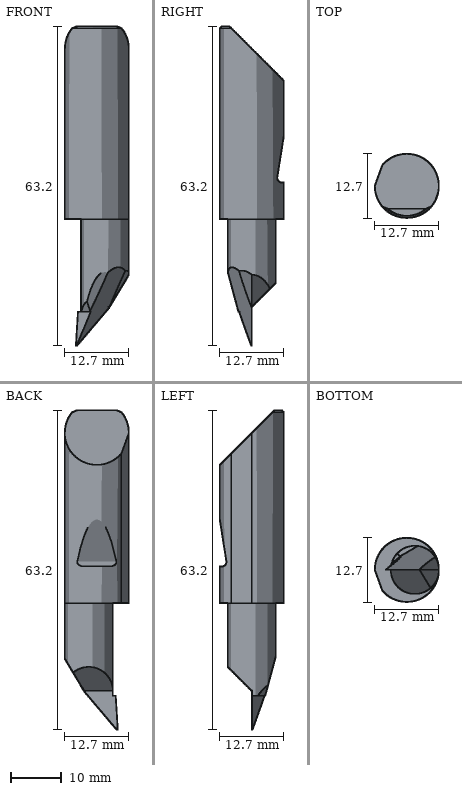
import cadquery as cq
import math

total_length = 63.15
shank_diameter = 12.7
neck_diameter = 9.525
shoulder_z = 25.0
shank_radius = shank_diameter / 2
neck_radius = neck_diameter / 2
neck_center_x = shank_radius - neck_radius

end_land_y = -4.48
end_chamfer = 0.45

side_flat_angle = 20.0

notch_bottom_z = 32.25
notch_top_z = 41.5
notch_slope = 9.0
notch_corner_radius = 0.9

runout_z = 7.65

blade_top_z = 6.75
flank_edge_angle = 3.5
flank_relief_angle = 45.0
cutting_edge_angle = 40.3
tip_left_x = -4.16
tip_right_x = -3.9

relief_middle = (2.4, -2.17)
relief_end = (4.76, -4.74)

heel_z = 7.45
heel_edge_angle = 30.9
heel_relief_angle = 22.0

front_tilt = 15.0
front_start_z = 14.53
undercut_point = (-1.24, -2.75, 6.8)
undercut_direction = 50.0
undercut_tilt = 22.5

cut_size = 2 * total_length


def sin(degrees):
    return math.sin(math.radians(degrees))


def cos(degrees):
    return math.cos(math.radians(degrees))


def tan(degrees):
    return math.tan(math.radians(degrees))


def outer_side(point, normal):
    """Large block filling the outer side of the plane through point."""
    plane = cq.Plane(origin=point, normal=normal)
    return cq.Workplane(plane).rect(cut_size, cut_size).extrude(cut_size)


def make_notch():
    depth = (notch_top_z - notch_bottom_z) * tan(notch_slope)
    floor_y = shank_radius - depth
    notch = (
        cq.Workplane("YZ")
        .moveTo(shank_radius, notch_top_z)
        .lineTo(floor_y, notch_bottom_z)
        .lineTo(shank_radius, notch_bottom_z)
        .close()
        .extrude(shank_radius, both=True)
    )
    inner_corner = cq.selectors.NearestToPointSelector((0, floor_y, notch_bottom_z))
    return notch.edges(inner_corner).fillet(notch_corner_radius)


def make_shank():
    length = total_length - shoulder_z
    shank = cq.Workplane("XY").workplane(offset=shoulder_z).circle(shank_radius).extrude(length)
    shank = shank.faces(">Z").chamfer(end_chamfer)
    end_bevel = outer_side((0, end_land_y, total_length), (0, 1, 1))
    flat_normal = (-cos(side_flat_angle), sin(side_flat_angle), 0)
    side_flat = outer_side((-shank_radius, 0, 0), flat_normal)
    return shank.cut(end_bevel).cut(side_flat).cut(make_notch())


def make_neck():
    neck = (
        cq.Workplane("XY")
        .workplane(offset=blade_top_z)
        .center(neck_center_x, 0)
        .circle(neck_radius)
        .extrude(shoulder_z - blade_top_z)
    )
    undercut_normal = (
        -cos(undercut_direction) * cos(undercut_tilt),
        -sin(undercut_direction) * cos(undercut_tilt),
        -sin(undercut_tilt),
    )
    return neck.cut(outer_side(undercut_point, undercut_normal))


def make_blade():
    """Block behind the rake face, cut by the relieved flank on its -X side."""
    blade = cq.Workplane("XY").box(
        shank_diameter, neck_radius, blade_top_z, centered=(True, False, False)
    )
    blade = blade.translate((0, -neck_radius, 0))
    flank_normal = (-1, -tan(flank_relief_angle), tan(flank_edge_angle))
    return blade.cut(outer_side((tip_left_x, 0, 0), flank_normal))


def rake_cut():
    """Everything on the +Y side of the rake face and below the run-out."""
    return (
        cq.Workplane("YZ")
        .moveTo(0, 0)
        .lineTo(0, runout_z)
        .lineTo(neck_diameter, runout_z + neck_diameter)
        .lineTo(neck_diameter, 0)
        .close()
        .extrude(cut_size, both=True)
    )


def relief_cut():
    """Everything outside the curved relief face, swept along the cutting edge."""
    edge_direction = (sin(cutting_edge_angle), 0, cos(cutting_edge_angle))
    plane = cq.Plane(origin=(tip_right_x, 0, 0), xDir=(0, -1, 0), normal=edge_direction)
    return (
        cq.Workplane(plane)
        .moveTo(0, 0)
        .threePointArc(relief_middle, relief_end)
        .lineTo(relief_end[0], cut_size)
        .lineTo(-cut_size, cut_size)
        .close()
        .extrude(cut_size, both=True)
    )


def heel_cuts():
    """A straight heel face, and a relieved one through the same edge on y = 0."""
    heel_point = (tip_right_x + heel_z * tan(cutting_edge_angle), 0, heel_z)
    for relief_angle in (0, heel_relief_angle):
        normal = (cos(heel_edge_angle), -tan(relief_angle), -sin(heel_edge_angle))
        yield outer_side(heel_point, normal)


def make_tip():
    tip = make_neck().union(make_blade())
    front_normal = (0, -cos(front_tilt), -sin(front_tilt))
    tip = tip.cut(outer_side((0, -neck_radius, front_start_z), front_normal))
    tip = tip.cut(rake_cut()).cut(relief_cut())
    for heel_cut in heel_cuts():
        tip = tip.cut(heel_cut)
    return tip


result = make_shank().union(make_tip())